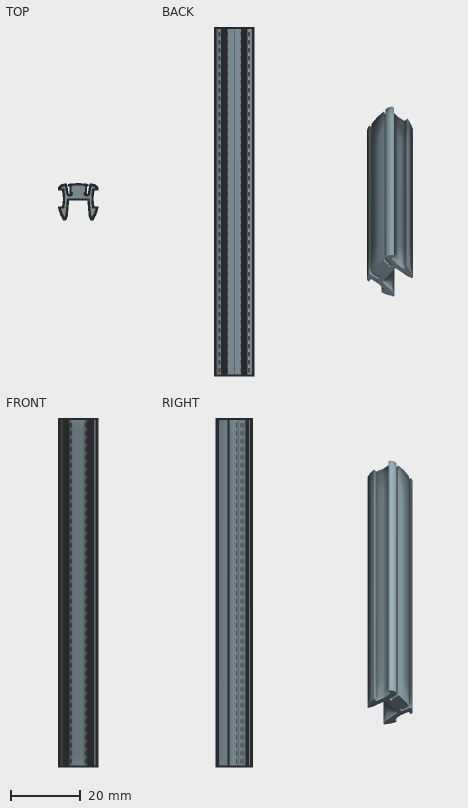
import cadquery as cq

length = 100.0
half_width = 11.0 / 2
half_depth = 10.1 / 2

head_edge_x = 2.6
head_crown_drop = 0.05
head_edge_y = half_depth - 0.2
head_lip_y = head_edge_y - 0.2
neck_x = 2.3

groove_radius = 0.6
groove_center_x = 2.5
groove_center_y = 2.5
groove_bottom_y = groove_center_y - groove_radius
wall_top_inner_x = 3.5
wall_top_y = half_depth - 0.1

lip_bottom_y = 3.5
lip_nose_y = lip_bottom_y + 0.4
lip_crown_x = 4.8
lip_crown_y = 4.6

wall_outer_x = 4.4
waist_x = 4.1
waist_y = 1.1
hollow_x = 4.2
hollow_y = -0.3

barb_y = -1.6
barb_flank_x = 5.1
barb_flank_y = -3.0
tip_x = 3.9
tip_outer_x = tip_x + 0.4
tip_inner_x = tip_x - 0.3
tip_start_y = 0.4 - half_depth
leg_inner_x = 3.3
leg_taper_y = -3.9
web_bottom_y = 0.6
web_half_width = 2.9


def half_profile():
    """Right half of the section, closed along the symmetry plane."""
    outline = cq.Workplane("XY").moveTo(0, half_depth)
    outline = (
        outline.threePointArc((head_edge_x / 2, half_depth - head_crown_drop), (head_edge_x, head_edge_y))
        .lineTo(head_edge_x, head_lip_y)
        .lineTo(neck_x, head_lip_y)
        .lineTo(neck_x, groove_center_y)
        .lineTo(groove_center_x - groove_radius, groove_center_y)
        .threePointArc(
            (groove_center_x, groove_bottom_y),
            (groove_center_x + groove_radius, groove_center_y),
        )
    )
    outline = (
        outline.lineTo(wall_top_inner_x, wall_top_y)
        .threePointArc((lip_crown_x, lip_crown_y), (half_width, lip_nose_y))
        .lineTo(half_width, lip_bottom_y)
        .lineTo(wall_outer_x, lip_bottom_y)
        .lineTo(waist_x, waist_y)
        .threePointArc((hollow_x, hollow_y), (wall_outer_x, barb_y))
    )
    outline = (
        outline.lineTo(half_width, barb_y)
        .threePointArc((barb_flank_x, barb_flank_y), (tip_outer_x, tip_start_y))
        .threePointArc((tip_x, -half_depth), (tip_inner_x, tip_start_y))
        .lineTo(leg_inner_x, leg_taper_y)
        .lineTo(web_half_width, web_bottom_y)
        .lineTo(0, web_bottom_y)
    )
    return outline.close()


right_half = half_profile().extrude(length)
result = right_half.union(right_half.mirror("YZ")).clean()